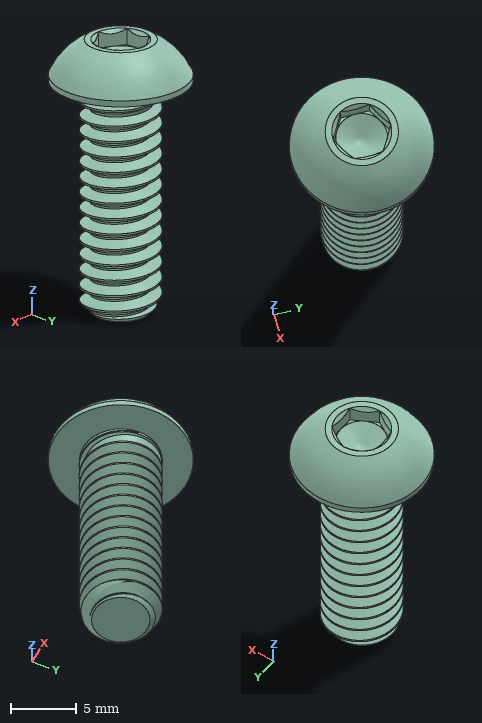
import cadquery as cq
import math

total_height = 22.4
head_diameter = 11.1
head_height = 3.35
head_rim_height = 0.5
head_flat_diameter = 5.6

thread_diameter = 6.36
thread_turns = 15
thread_half_angle = 30.0
first_groove_height = 0.43
runout_length = 2.25
runout_top_diameter = 6.32
tip_diameter = 4.45

socket_across_flats = 3.96
socket_depth = 1.35
hexagon_turn = 30.0
socket_floor_cone_depth = 1.15
socket_mouth_angle = 45.0

shank_length = total_height - head_height
thread_radius = thread_diameter / 2
thread_pitch = shank_length / thread_turns
crest_flat = thread_pitch / 8
root_flat = thread_pitch / 8
flank_slope = math.tan(math.radians(thread_half_angle))
thread_depth = (thread_pitch - crest_flat - root_flat) / 2 / flank_slope
root_radius = thread_radius - thread_depth
tip_chamfer = (thread_diameter - tip_diameter) / 2
socket_across_corners = socket_across_flats / math.cos(math.radians(hexagon_turn))


def make_head():
    """Button head: a short rim below a dome that is part of a sphere centred on the axis."""
    rim_radius = head_diameter / 2
    flat_radius = head_flat_diameter / 2
    rim_top = shank_length + head_rim_height
    dome_rise = total_height - rim_top
    depth_below_rim = (rim_radius**2 - flat_radius**2 - dome_rise**2) / (2 * dome_rise)
    dome_radius = math.hypot(rim_radius, depth_below_rim)
    mid_height = rim_top + dome_rise / 2
    mid_radius = math.sqrt(dome_radius**2 - (depth_below_rim + dome_rise / 2) ** 2)
    return (
        cq.Workplane("XZ")
        .moveTo(0, shank_length)
        .lineTo(rim_radius, shank_length)
        .lineTo(rim_radius, rim_top)
        .threePointArc((mid_radius, mid_height), (flat_radius, total_height))
        .lineTo(0, total_height)
        .close()
        .revolve(360, (0, 0), (0, 1))
    )


def make_thread_groove():
    """Helical groove that starts below the tip and ends above the underside of the head."""
    overcut = 0.07
    extra_turns = 2
    start_height = first_groove_height - extra_turns * thread_pitch
    groove_length = (thread_turns + extra_turns) * thread_pitch
    half_root = root_flat / 2
    half_mouth = half_root + (thread_depth + overcut) * flank_slope
    mouth_radius = thread_radius + overcut
    profile = [
        (root_radius, -half_root),
        (mouth_radius, -half_mouth),
        (mouth_radius, half_mouth),
        (root_radius, half_root),
    ]

    def end_face(height):
        corners = [cq.Vector(radius, 0, height + offset) for radius, offset in profile]
        return cq.Face.makeFromWires(cq.Wire.makePolygon(corners, close=True))

    helices = [
        cq.Wire.makeHelix(
            thread_pitch, groove_length, radius, center=cq.Vector(0, 0, start_height + offset)
        ).Edges()[0]
        for radius, offset in profile
    ]
    faces = [
        cq.Face.makeRuledSurface(helix, next_helix)
        for helix, next_helix in zip(helices, helices[1:] + helices[:1])
    ]
    faces += [end_face(start_height), end_face(start_height + groove_length)]
    return cq.Workplane(cq.Solid.makeSolid(cq.Shell.makeShell(faces)))


def make_shank():
    """Threaded shank with a chamfered tip and a runout cone under the head."""
    blank = cq.Workplane("XY").circle(thread_radius).extrude(shank_length)
    tip_envelope = blank.faces("<Z").chamfer(tip_chamfer)
    runout = (
        cq.Workplane("XZ")
        .moveTo(0, shank_length - runout_length)
        .lineTo(root_radius, shank_length - runout_length)
        .lineTo(runout_top_diameter / 2, shank_length)
        .lineTo(0, shank_length)
        .close()
        .revolve(360, (0, 0), (0, 1))
    )
    return blank.cut(make_thread_groove()).intersect(tip_envelope).union(runout)


def make_socket():
    """Hexagon socket with flats facing +X and -X, a conical floor and a countersunk mouth."""
    floor_height = total_height - socket_depth
    hexagon = (
        cq.Workplane("XY", origin=(0, 0, floor_height))
        .transformed(rotate=(0, 0, hexagon_turn))
        .polygon(6, socket_across_corners)
        .extrude(socket_depth)
    )
    floor_cone = cq.Workplane(
        cq.Solid.makeCone(
            0,
            socket_across_flats / 2,
            socket_floor_cone_depth,
            pnt=cq.Vector(0, 0, floor_height - socket_floor_cone_depth),
        )
    )
    mouth_radius = socket_across_corners / 2
    mouth_depth = mouth_radius * math.tan(math.radians(socket_mouth_angle))
    mouth_cone = cq.Workplane(
        cq.Solid.makeCone(
            0,
            mouth_radius,
            mouth_depth,
            pnt=cq.Vector(0, 0, total_height - mouth_depth),
        )
    )
    return hexagon.union(floor_cone).union(mouth_cone)


result = make_shank().union(make_head()).cut(make_socket())